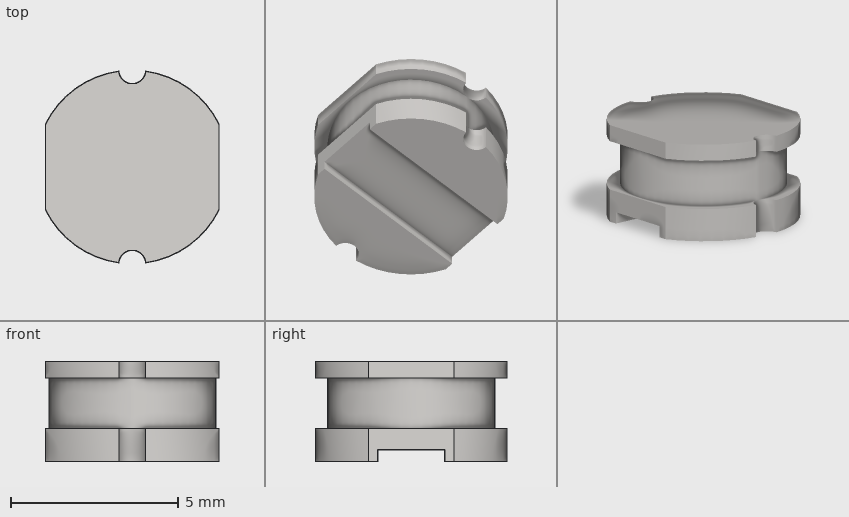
import cadquery as cq
import math

width = 5.2
length = 5.74
height = 3.0

top_flange_height = 0.5
bottom_flange_height = 1.0
core_diameter = 5.0

notch_radius = 0.4

channel_width = 2.0
channel_depth = 0.35

rim_radius = (length / 2 + math.sqrt((length / 2) ** 2 + 2 * notch_radius**2)) / 2


def flange(base_height, thickness):
    """Disc with a flat on each X side and a notch on each Y side."""
    base = cq.Workplane("XY").workplane(offset=base_height)
    disc = base.circle(rim_radius).extrude(thickness)
    flats = base.rect(width, 2 * rim_radius).extrude(thickness)
    notch_centers = [(0, -rim_radius), (0, rim_radius)]
    notches = base.pushPoints(notch_centers).circle(notch_radius).extrude(thickness)
    return disc.intersect(flats).cut(notches)


bottom_flange = flange(0, bottom_flange_height)
top_flange = flange(height - top_flange_height, top_flange_height)

core_height = height - top_flange_height - bottom_flange_height
core = (
    cq.Workplane("XY")
    .workplane(offset=bottom_flange_height)
    .circle(core_diameter / 2)
    .extrude(core_height)
)

channel = cq.Workplane("XY").rect(width, channel_width).extrude(channel_depth)

result = bottom_flange.cut(channel).union(core).union(top_flange)